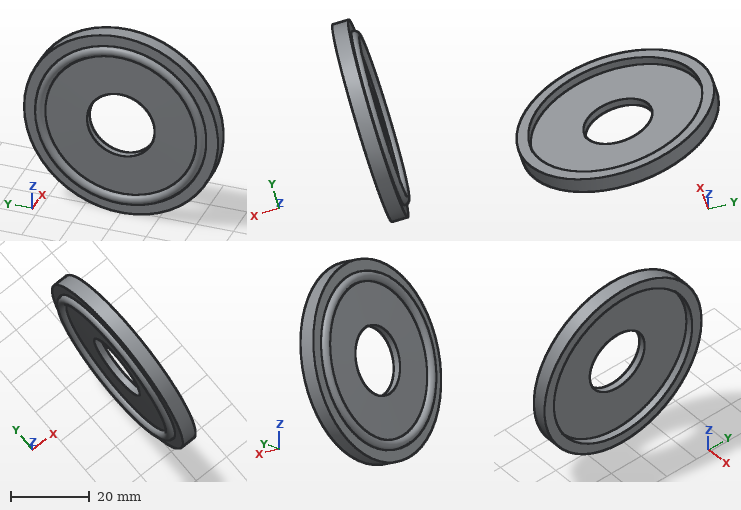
import cadquery as cq

disc_radius = 26.25
disc_thickness = 4.2
hole_radius = 9.15
bead_outer_radius = 23.1
bead_width = 2.6
bead_height = 1.6
crown_rise = 0.15
hole_length = 2.1

bead_radius = bead_width / 2
bead_inner_radius = bead_outer_radius - bead_width
bead_center_radius = bead_outer_radius - bead_radius
disc_front = bead_height
disc_back = disc_front + disc_thickness
hole_front = disc_front - crown_rise
recess_floor = hole_front + hole_length
recess_radius = bead_outer_radius

section = (
    cq.Workplane("XY")
    .moveTo(recess_floor, hole_radius)
    .lineTo(recess_floor, recess_radius)
    .lineTo(disc_back, recess_radius)
    .lineTo(disc_back, disc_radius)
    .lineTo(disc_front, disc_radius)
    .lineTo(disc_front, bead_outer_radius)
    .lineTo(bead_radius, bead_outer_radius)
    .threePointArc((0, bead_center_radius), (bead_radius, bead_inner_radius))
    .lineTo(disc_front, bead_inner_radius)
    .lineTo(hole_front, hole_radius)
    .close()
)

result = section.revolve(360, (0, 0, 0), (1, 0, 0))